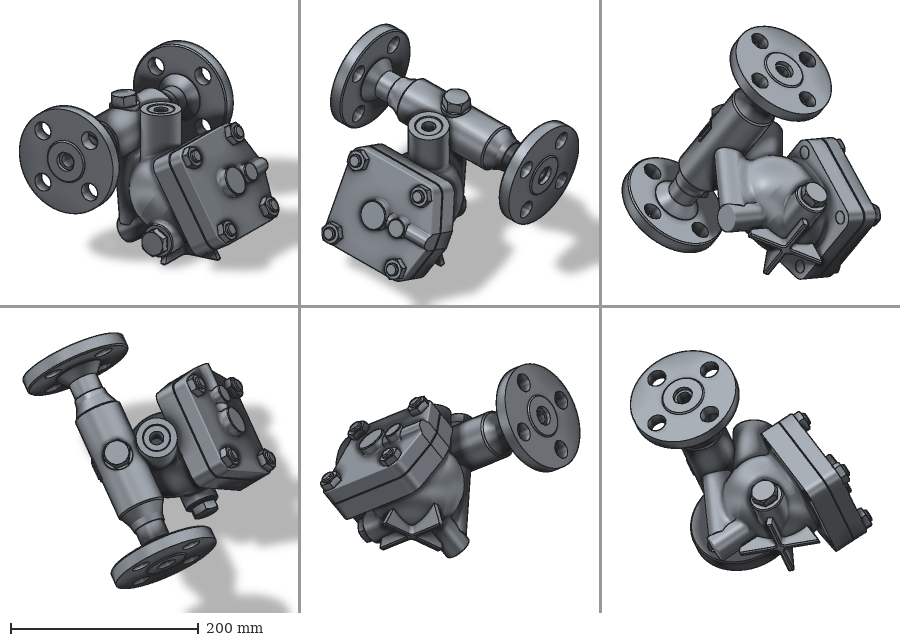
import cadquery as cq
import math

HALF_LENGTH = 125.0
FLANGE_DIA = 117.0
FLANGE_THICKNESS = 14.5
FLANGE_ROUND = 1.5
RAISED_FACE_DIA = 44.0
RAISED_FACE_BASE_DIA = 47.0
RAISED_FACE_HEIGHT = 1.5
BOLT_HOLE_DIA = 20.0
BOLT_CIRCLE_DIA = 82.5
HUB_DIA = 52.0
HUB_STEP = 1.0
NECK_PIPE_DIA = 32.0
HUB_END_Y = 97.2
NECK_END_Y = 79.0
WELD_END_Y = 71.8
WELD_DIA = 37.0
WELD_LIP_DIA = 35.0
BARREL_END_Y = 59.5
BARREL_DIA = 52.0
BARREL_CHAMFER = 1.8
SOCKET_DIA = 21.0
SOCKET_DEPTH = 5.0
BORE_DIA = 15.0
BORE_DEPTH = 60.0

LEG_TILT = 5.0
LEG_DIA = 30.0
LEG_LENGTH = 105.0
PLUG_TOP = 38.2
PLUG_SEAT_DIA = 32.0
PLUG_SEAT_TOP = 26.5
PLUG_FLATS = 26.0

PLAQUE_LENGTH = 25.0
PLAQUE_HEIGHT = 10.5
PLAQUE_OUT = 27.0
PLAQUE_ROOT = 2.5
ARROW_LENGTH = 20.0
ARROW_HEIGHT = 5.0
ARROW_HEAD = 4.0
ARROW_OUT = 28.5

COVER_TILT = 30.0
COVER_V = -98.0
PLATE_BACK_U = 50.5
GASKET_U = 73.0
GASKET_THICKNESS = 1.0
GASKET_INSET = 0.8
COVER_FRONT_U = 90.0
PLATE_HALF = 57.0
PLATE_CORNER = 13.5
PEAK_Y = 69.8
PEAK_HALF_WIDTH = 10.0
PEAK_FOOT_Y = 53.5
COVER_ROUND = 1.5

STUD_OFFSET = 43.5
STUD_DIA = 14.0
STUD_START_U = 50.0
STUD_END_U = 101.5
STUD_CHAMFER = 1.2
NUT_FLATS = 21.0
NUT_HEIGHT = 8.0

COVER_BOSS_DIA = 32.0
SMALL_BOSS_DIA = 21.0
SMALL_BOSS_Y = 32.0
COVER_BOSS_END_U = 101.2
COVER_BOSS_FILLET = 2.5
COVER_BOSS_CHAMFER = 1.0
BOSS_ROOT = 10.0
RIB_DIA = 15.0

CHAMBER_RADIUS = 46.0
CHAMBER_X = 57.2
CHAMBER_Z = -60.0
CHAMBER_LENGTH = 20.0
CHAMBER_FALL = 35.0
CHAMBER_FILLET = 4.5
TOP_BOSS_FILLET = 8.0
LEG_FILLET = 11.0
STUB_FILLET = 4.0
DRAIN_FILLET = 2.5

STUB_V = -100.2
STUB_END_U = -58.2
STUB_LENGTH = 90.0
STUB_DIA = 30.0
STUB_ROUND = 1.0

TOP_BOSS_X = 43.2
TOP_BOSS_TOP = 29.2
TOP_BOSS_DIA = 44.0
TOP_BOSS_FLOOR = -50.0
TOP_BOSS_RECESS_DIA = 30.0
TOP_BOSS_RECESS = 1.0
TOP_BOSS_BORE_DEPTH = 30.0

DRAIN_X = 72.5
DRAIN_Z = -98.0
DRAIN_DIA = 37.0
DRAIN_FACE_Y = 55.0
DRAIN_PLUG_GAP = 1.5
DRAIN_PLUG_END_Y = 66.0
DRAIN_SHANK_DIA = 25.0
DRAIN_CHAMFER = 1.2

FOOT_BOTTOM = -129.0
FOOT_LEFT = 28.2
FOOT_RIGHT = 116.5
FOOT_SIDE_HEIGHT = 7.5
FOOT_TOP = -100.0
FOOT_HALF_WIDTH = 44.0
FOOT_DRAFT = 0.3
FOOT_CHAMFER = 1.5
FOOT_RIB = 6.0
FOOT_FILLET = 4.0

MEETING_TOLERANCE = 0.005

COVER_SIN = math.sin(math.radians(COVER_TILT))
COVER_COS = math.cos(math.radians(COVER_TILT))
COVER_NORMAL = cq.Vector(COVER_COS, 0, COVER_SIN)
OUTWARD = cq.DirectionMinMaxSelector(COVER_NORMAL, True)
INWARD = cq.DirectionMinMaxSelector(COVER_NORMAL, False)


def cover_plane(u, v=0.0, y=0.0):
    """Workplane facing U, with local X along Y and local Y along V."""
    origin = (u * COVER_COS - v * COVER_SIN, y, u * COVER_SIN + v * COVER_COS)
    return cq.Workplane(cq.Plane(origin=origin, xDir=(0, 1, 0), normal=(COVER_COS, 0, COVER_SIN)))


def join_filleted(base, added, radius):
    """Union of two bodies with the edges where their surfaces meet rounded to a radius."""
    joined = base.union(added)
    meeting = []
    for edge in joined.edges().vals():
        points = [cq.Vertex.makeVertex(*edge.positionAt(place).toTuple()) for place in (0.1, 0.35, 0.6, 0.9)]
        if all(
            min(face.distance(point) for face in body.faces().vals()) < MEETING_TOLERANCE
            for body in (base, added)
            for point in points
        ):
            meeting.append(edge)
    return joined.newObject(meeting).fillet(radius)


def hexagon(work, flats, height, turn=0.0):
    """Hexagon bar with its outer corners turned down to the flats; turn 0 puts a corner on local X."""
    corner_dia = flats / math.cos(math.pi / 6)
    corner_height = (corner_dia - flats) / 2 * math.tan(math.pi / 6)
    bar = work.transformed(rotate=(0, 0, turn)).polygon(6, corner_dia).extrude(height)
    straight = work.circle(corner_dia / 2).extrude(height - corner_height)
    turned = (
        work.workplane(offset=height - corner_height)
        .circle(corner_dia / 2)
        .workplane(offset=corner_height)
        .circle(flats / 2)
        .loft()
    )
    return bar.intersect(straight.union(turned))


def pipe():
    flange_front = HALF_LENGTH - RAISED_FACE_HEIGHT
    flange_back = flange_front - FLANGE_THICKNESS
    flange_radius = FLANGE_DIA / 2
    half_profile = [
        (BARREL_DIA / 2, BARREL_END_Y - BARREL_CHAMFER),
        (BARREL_DIA / 2 - BARREL_CHAMFER, BARREL_END_Y),
        (WELD_DIA / 2, WELD_END_Y),
        (WELD_LIP_DIA / 2, NECK_END_Y),
        (NECK_PIPE_DIA / 2, NECK_END_Y),
        (NECK_PIPE_DIA / 2, HUB_END_Y),
        (HUB_DIA / 2, flange_back - HUB_STEP),
        (HUB_DIA / 2, flange_back),
        (flange_radius - FLANGE_ROUND, flange_back),
        (flange_radius, flange_back + FLANGE_ROUND),
        (flange_radius, flange_front),
        (RAISED_FACE_BASE_DIA / 2, flange_front),
        (RAISED_FACE_DIA / 2, HALF_LENGTH),
        (0, HALF_LENGTH),
    ]
    other_half = [(radius, -y) for radius, y in reversed(half_profile)]
    profile = cq.Workplane("XY").polyline(other_half + half_profile).close()
    return profile.revolve(360, (0, 0, 0), (0, 1, 0))


def flange_holes():
    """Bolt holes, socket and blind bore of the +Y flange."""
    hole_offset = BOLT_CIRCLE_DIA / 2 * math.cos(math.pi / 4)
    end = cq.Workplane("XZ", origin=(0, HALF_LENGTH, 0))
    corners = end.rect(2 * hole_offset, 2 * hole_offset, forConstruction=True).vertices()
    bolt_holes = corners.circle(BOLT_HOLE_DIA / 2).extrude(RAISED_FACE_HEIGHT + FLANGE_THICKNESS)
    socket = end.circle(SOCKET_DIA / 2).extrude(SOCKET_DEPTH)
    return bolt_holes.union(socket).union(end.circle(BORE_DIA / 2).extrude(BORE_DEPTH))


def leg_and_plug():
    tilt = math.radians(LEG_TILT)
    up = cq.Workplane(cq.Plane((0, 0, 0), xDir=(math.cos(tilt), 0, math.sin(tilt)),
                               normal=(-math.sin(tilt), 0, math.cos(tilt))))
    leg = up.circle(LEG_DIA / 2).extrude(-LEG_LENGTH)
    seat = up.circle(PLUG_SEAT_DIA / 2).extrude(PLUG_SEAT_TOP)
    head = hexagon(up.workplane(offset=PLUG_SEAT_TOP), PLUG_FLATS, PLUG_TOP - PLUG_SEAT_TOP)
    return leg, seat.union(head)


def plaque():
    root_x = BARREL_DIA / 2 - PLAQUE_ROOT
    side = cq.Workplane("YZ", origin=(-root_x, 0, 0))
    plate = side.rect(PLAQUE_LENGTH, PLAQUE_HEIGHT).extrude(root_x - PLAQUE_OUT)
    tip = ARROW_LENGTH / 2
    barb = ARROW_HEIGHT / 2
    neck = tip - ARROW_HEAD
    arrow_points = [(tip, 0), (neck, barb), (neck, barb / 2), (-tip, barb / 2),
                    (-tip, -barb / 2), (neck, -barb / 2), (neck, -barb)]
    arrow = side.polyline(arrow_points).close().extrude(root_x - ARROW_OUT)
    return plate.union(arrow)


def cover_slab(start_u, end_u, inset=0.0):
    """Cover outline between two U positions: a square with a blunt peak on the +Y side."""
    half = PLATE_HALF - inset
    slab = (
        cover_plane(start_u, COVER_V)
        .polyline([
            (-half, -half),
            (PEAK_FOOT_Y - inset, -half),
            (PEAK_Y - inset, -PEAK_HALF_WIDTH),
            (PEAK_Y - inset, PEAK_HALF_WIDTH),
            (PEAK_FOOT_Y - inset, half),
            (-half, half),
        ])
        .close()
        .extrude(end_u - start_u)
    )
    corners = cq.selectors.BoxSelector((-1250, -half - 2.5, -1250), (1250, PEAK_FOOT_Y + 2.5, 1250))
    along_normal = cq.ParallelDirSelector(COVER_NORMAL)
    return slab.edges(along_normal).edges(corners).fillet(PLATE_CORNER)


def cover():
    slab = cover_slab(GASKET_U + GASKET_THICKNESS / 2, COVER_FRONT_U)
    slab = slab.faces(OUTWARD).edges().fillet(COVER_ROUND)
    height = COVER_BOSS_END_U - COVER_FRONT_U + BOSS_ROOT
    root_u = COVER_FRONT_U - BOSS_ROOT
    main_boss = cover_plane(root_u, COVER_V).circle(COVER_BOSS_DIA / 2).extrude(height)
    small_boss = cover_plane(root_u, COVER_V, SMALL_BOSS_Y).circle(SMALL_BOSS_DIA / 2).extrude(height)
    main_boss = main_boss.faces(OUTWARD).chamfer(COVER_BOSS_CHAMFER)
    small_boss = small_boss.faces(OUTWARD).chamfer(COVER_BOSS_CHAMFER)
    rib_start = cover_plane(COVER_FRONT_U, COVER_V).plane.origin
    rib = cq.Workplane("XZ", origin=rib_start).circle(RIB_DIA / 2).extrude(-PEAK_Y)
    return join_filleted(slab, main_boss.union(small_boss).union(rib), COVER_BOSS_FILLET)


def studs():
    """Four studs with nuts; diagonal neighbours have their nuts turned alike."""
    bolts = None
    for side_y in (-1, 1):
        for side_v in (-1, 1):
            y = side_y * STUD_OFFSET
            v = COVER_V + side_v * STUD_OFFSET
            turn = 0 if side_y == side_v else 30
            stud = cover_plane(STUD_START_U, v, y).circle(STUD_DIA / 2).extrude(STUD_END_U - STUD_START_U)
            nut = hexagon(cover_plane(COVER_FRONT_U, v, y), NUT_FLATS, NUT_HEIGHT, turn)
            stud = stud.faces(OUTWARD).chamfer(STUD_CHAMFER).union(nut)
            bolts = stud if bolts is None else bolts.union(stud)
    return bolts


def chamber():
    fall = math.radians(CHAMBER_FALL)
    along = cq.Workplane(cq.Plane((CHAMBER_X, 0, CHAMBER_Z), (0, 1, 0), (math.cos(fall), 0, -math.sin(fall))))
    low = along.workplane(offset=CHAMBER_LENGTH).sphere(CHAMBER_RADIUS)
    capsule = along.circle(CHAMBER_RADIUS).extrude(CHAMBER_LENGTH).union(along.sphere(CHAMBER_RADIUS)).union(low)
    beyond_plate = cover_plane(PLATE_BACK_U + 2.5, COVER_V).circle(FLANGE_DIA).extrude(FLANGE_DIA)
    return capsule.cut(beyond_plate)


def foot():
    """Two crossed ribs: one in the XZ plane, one in the YZ plane below the drain boss."""
    height = FOOT_TOP - FOOT_BOTTOM
    rise = height - FOOT_SIDE_HEIGHT
    long_rib = (
        cq.Workplane("XZ")
        .polyline([
            (FOOT_LEFT, FOOT_BOTTOM),
            (FOOT_LEFT, FOOT_BOTTOM + FOOT_SIDE_HEIGHT),
            (FOOT_LEFT + rise / math.tan(math.radians(COVER_TILT)), FOOT_TOP),
            (FOOT_RIGHT - height * math.tan(math.radians(COVER_TILT)), FOOT_TOP),
            (FOOT_RIGHT, FOOT_BOTTOM),
        ])
        .close()
        .extrude(FOOT_RIB / 2, both=True)
    )
    top_half = FOOT_HALF_WIDTH - height * FOOT_DRAFT
    cross_rib = (
        cq.Workplane("YZ", origin=(DRAIN_X, 0, 0))
        .polyline([
            (-FOOT_HALF_WIDTH, FOOT_BOTTOM),
            (-top_half, FOOT_TOP),
            (top_half, FOOT_TOP),
            (FOOT_HALF_WIDTH, FOOT_BOTTOM),
        ])
        .close()
        .extrude(FOOT_RIB / 2, both=True)
    )
    inner = cq.selectors.BoxSelector((DRAIN_X - FOOT_RIB, -FOOT_RIB, FOOT_BOTTOM - 2.5),
                                     (DRAIN_X + FOOT_RIB, FOOT_RIB, FOOT_TOP + 2.5))
    cross = long_rib.union(cross_rib).edges("|Z").edges(inner).fillet(FOOT_FILLET)
    return cross.faces("<Z").edges().chamfer(FOOT_CHAMFER)


def stub():
    bar = cover_plane(STUB_END_U, STUB_V).circle(STUB_DIA / 2).extrude(STUB_LENGTH)
    return bar.faces(INWARD).fillet(STUB_ROUND)


def top_boss():
    base = cq.Workplane("XY", origin=(TOP_BOSS_X, 0, TOP_BOSS_FLOOR))
    return base.circle(TOP_BOSS_DIA / 2).extrude(TOP_BOSS_TOP - TOP_BOSS_FLOOR)


def top_boss_holes():
    """Shallow tapered recess and a blind bore in the top boss."""
    top = cq.Workplane("XY", origin=(TOP_BOSS_X, 0, TOP_BOSS_TOP))
    recess = (
        top.circle(TOP_BOSS_RECESS_DIA / 2)
        .workplane(offset=-TOP_BOSS_RECESS)
        .circle(TOP_BOSS_RECESS_DIA / 2 - TOP_BOSS_RECESS)
        .loft()
    )
    return recess.union(top.circle(BORE_DIA / 2).extrude(-TOP_BOSS_BORE_DEPTH))


def drain_boss():
    bar = cq.Workplane("XZ", origin=(DRAIN_X, 0, DRAIN_Z)).circle(DRAIN_DIA / 2).extrude(DRAIN_FACE_Y)
    return bar.faces("<Y").chamfer(DRAIN_CHAMFER)


def drain_plug():
    shank_end = DRAIN_FACE_Y + DRAIN_PLUG_GAP
    axis = cq.Workplane("XZ", origin=(DRAIN_X, 0, DRAIN_Z))
    shank = axis.circle(DRAIN_SHANK_DIA / 2).extrude(shank_end)
    return shank.union(hexagon(axis.workplane(offset=shank_end), PLUG_FLATS, DRAIN_PLUG_END_Y - shank_end, 30))


def build():
    shell = chamber()
    leg, top_plug = leg_and_plug()
    back_plate = cover_slab(PLATE_BACK_U, GASKET_U - GASKET_THICKNESS / 2)
    gasket = cover_slab(GASKET_U - GASKET_THICKNESS, GASKET_U + GASKET_THICKNESS, GASKET_INSET)
    part = join_filleted(shell, back_plate, CHAMBER_FILLET)
    for attachment, radius in (
        (top_boss(), TOP_BOSS_FILLET),
        (leg, LEG_FILLET),
        (stub(), STUB_FILLET),
        (drain_boss(), DRAIN_FILLET),
    ):
        part = part.union(join_filleted(shell, attachment, radius))
    for piece in (gasket, cover(), studs(), foot(), drain_plug(), pipe(), top_plug, plaque()):
        part = part.union(piece)
    holes = flange_holes()
    return part.cut(holes).cut(holes.mirror("XZ")).cut(top_boss_holes())


result = build()